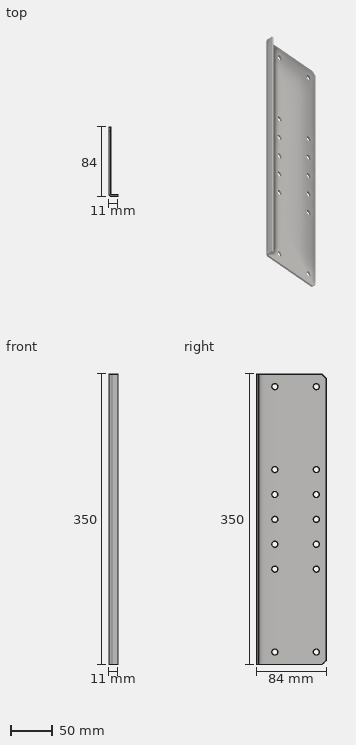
import cadquery as cq

flange_width = 11.0
plate_width = 84.0
height = 350.0

thickness = 2.5
inner_bend_radius = 1.0
outer_bend_radius = inner_bend_radius + thickness

corner_chamfer = 5.0

hole_diameter = 7.0
hole_edge_distance = 12.0
column_spacing = 50.0
end_hole_offset = 160.0
middle_hole_pitch = 30.0
middle_hole_steps = 2

outer_column_y = plate_width - hole_edge_distance
column_ys = [outer_column_y, outer_column_y - column_spacing]
middle_zs = [i * middle_hole_pitch for i in range(-middle_hole_steps, middle_hole_steps + 1)]
row_zs = [-end_hole_offset] + middle_zs + [end_hole_offset]


def bent_sheet():
    """L-shaped sheet, extruded along the bend, with concentric bend radii."""
    blank = (
        cq.Workplane("XY")
        .workplane(offset=-height / 2)
        .moveTo(0, 0)
        .lineTo(flange_width, 0)
        .lineTo(flange_width, thickness)
        .lineTo(thickness, thickness)
        .lineTo(thickness, plate_width)
        .lineTo(0, plate_width)
        .close()
        .extrude(height)
    )
    outer_corner = cq.selectors.NearestToPointSelector((0, 0, 0))
    inner_corner = cq.selectors.NearestToPointSelector((thickness, thickness, 0))
    rounded = blank.edges(outer_corner).fillet(outer_bend_radius)
    return rounded.edges(inner_corner).fillet(inner_bend_radius)


def chamfer_free_corners(body):
    """Bevel both ends of the plate's free edge."""
    return body.faces(">Y").edges("|X").chamfer(corner_chamfer)


def hole_pattern():
    """Cylinders through the plate thickness at every hole position."""
    points = [(y, z) for y in column_ys for z in row_zs]
    return (
        cq.Workplane("YZ")
        .pushPoints(points)
        .circle(hole_diameter / 2)
        .extrude(thickness)
    )


result = chamfer_free_corners(bent_sheet()).cut(hole_pattern())